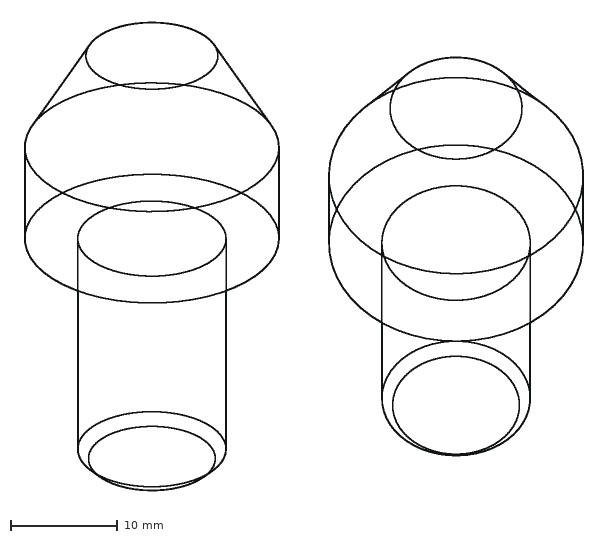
import cadquery as cq
import math

total_height = 44.0
head_diameter = 24.0
shank_diameter = 14.0
collar_height = 10.0
taper_height = 10.0
taper_half_angle = 30.0
tip_chamfer = 1.0

head_radius = head_diameter / 2
shank_radius = shank_diameter / 2
shank_length = total_height - collar_height - taper_height
collar_top = shank_length + collar_height
nose_radius = head_radius - taper_height * math.tan(math.radians(taper_half_angle))

half_section = (
    cq.Workplane("XZ")
    .moveTo(0, 0)
    .lineTo(shank_radius - tip_chamfer, 0)
    .lineTo(shank_radius, tip_chamfer)
    .lineTo(shank_radius, shank_length)
    .lineTo(head_radius, shank_length)
    .lineTo(head_radius, collar_top)
    .lineTo(nose_radius, total_height)
    .lineTo(0, total_height)
    .close()
)

result = half_section.revolve(360, (0, 0, 0), (0, 1, 0))